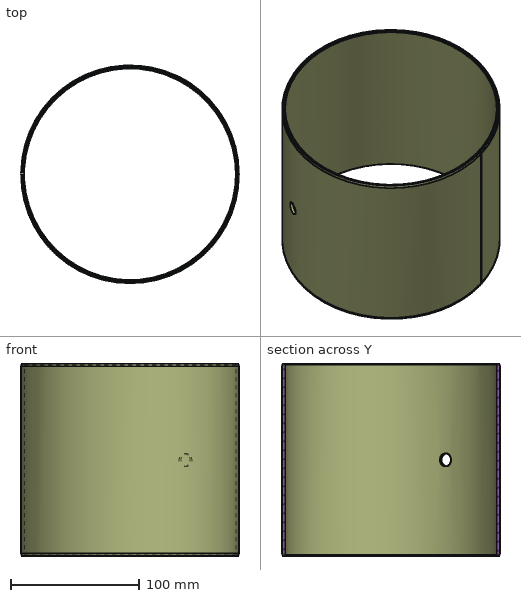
import cadquery as cq

outer_diameter = 170.0
height = 150.0
wall = 2.5
bevel_width = 0.7
outer_bevel_height = 2.0
inner_bevel_height = 0.8
groove_depth = 2.4
groove_width = 1.7
groove_offset = 0.8
hole_diameter = 10.0
hole_angle = 59.0

outer_radius = outer_diameter / 2
inner_radius = outer_radius - wall

profile = [
    (inner_radius, inner_bevel_height),
    (inner_radius + bevel_width, 0),
    (outer_radius - bevel_width, 0),
    (outer_radius, outer_bevel_height),
    (outer_radius, height - outer_bevel_height),
    (outer_radius - bevel_width, height),
    (inner_radius + bevel_width, height),
    (inner_radius, height - inner_bevel_height),
]
sleeve = cq.Workplane("XZ").polyline(profile).close().revolve(360, (0, 0, 0), (0, 1, 0))

groove = cq.Workplane("XY", origin=(-outer_radius, groove_offset, 0)).box(
    2 * groove_depth, groove_width, height, centered=(True, True, False)
)

hole = (
    cq.Workplane("YZ", origin=(0, 0, height / 2))
    .circle(hole_diameter / 2)
    .extrude(outer_diameter)
    .rotate((0, 0, 0), (0, 0, 1), hole_angle)
)

result = sleeve.cut(groove).cut(hole)